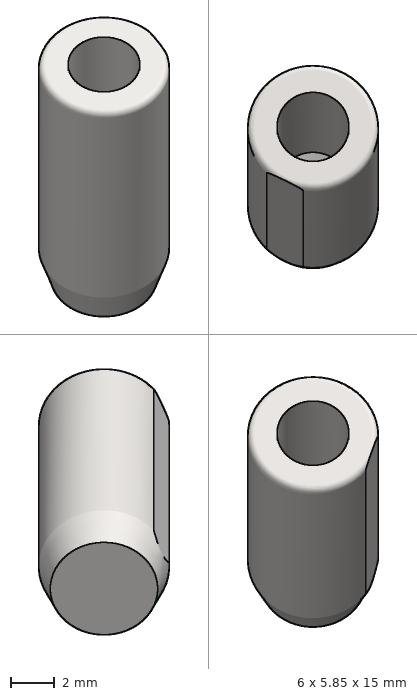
import cadquery as cq
import math

length = 15.0
diameter = 6.0
flat_distance = 2.85
top_fillet = 0.3
taper_height = 2.0
taper_angle = 15.0
hole_diameter = 3.3
hole_depth = 10.0
drill_point_angle = 118.0

radius = diameter / 2
hole_radius = hole_diameter / 2
tip_radius = radius - taper_height * math.tan(math.radians(taper_angle))
drill_point_depth = hole_radius / math.tan(math.radians(drill_point_angle / 2))
hole_bottom = length - hole_depth


def pin_body():
    """Revolved pin with a tapered lower end and a rounded upper rim."""
    profile = (
        cq.Workplane("XZ")
        .lineTo(tip_radius, 0)
        .lineTo(radius, taper_height)
        .lineTo(radius, length)
        .lineTo(0, length)
        .close()
    )
    return profile.revolve(360, (0, 0), (0, 1)).faces(">Z").edges().fillet(top_fillet)


def blind_hole():
    """Drilled hole from the top face, ending in a drill-point cone."""
    profile = (
        cq.Workplane("XZ")
        .moveTo(0, hole_bottom - drill_point_depth)
        .lineTo(hole_radius, hole_bottom)
        .lineTo(hole_radius, length)
        .lineTo(0, length)
        .close()
    )
    return profile.revolve(360, (0, 0), (0, 1))


def vent_flat():
    """Full-length block outside the flat on the +Y side."""
    return (
        cq.Workplane("XY")
        .box(diameter, radius, length, centered=(True, False, False))
        .translate((0, flat_distance, 0))
    )


result = pin_body().cut(blind_hole()).cut(vent_flat())